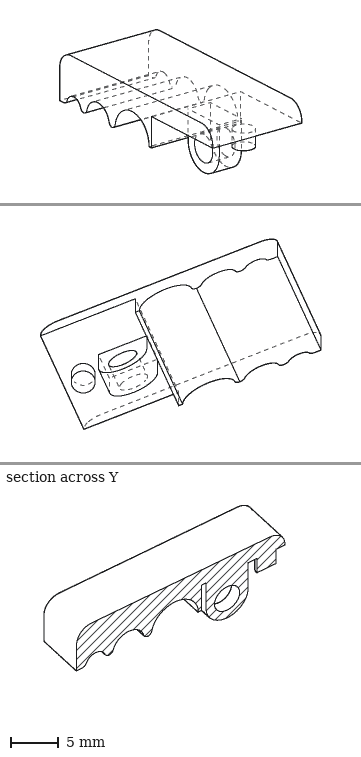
import cadquery as cq
import math

length = 27.0
width = 11.6
body_height = 5.75
plate_thickness = 2.2
top_edge_radius = 2.0

grip_length = 16.2
lip_radius = 0.65
end_wall = 0.45

small_radius = 1.25
medium_radius = 2.0
large_radius = 3.0
small_center_x = 2.5
medium_center_x = 6.75
large_center_x = grip_length - end_wall - large_radius

lug_center_x = 19.5
lug_radius = 2.75
lug_thickness = 2.9
pivot_hole_diameter = 3.2

pin_center_x = 24.6
pin_diameter = 2.5
pin_length = 2.0

plate_underside = body_height - plate_thickness


def make_body():
    """Plate and grip block in one side profile, with both top edges rounded."""
    profile = (
        cq.Workplane("XZ")
        .moveTo(0, 0)
        .lineTo(grip_length, 0)
        .lineTo(grip_length, plate_underside)
        .lineTo(length, plate_underside)
        .lineTo(length, body_height)
        .lineTo(0, body_height)
        .close()
    )
    body = profile.extrude(width / 2, both=True)
    return body.faces(">Z").edges("|Y").fillet(top_edge_radius)


def lip_points(radius):
    """Points of a rounded lip, as (distance from the notch centre, height above the underside).

    The lip arc is tangent to both the underside and the notch: it starts on the underside,
    passes its midpoint and ends on the notch.
    """
    center_distance = radius + lip_radius
    tangent_angle = math.asin(lip_radius / center_distance)
    lip_center = center_distance * math.cos(tangent_angle)
    middle_angle = (math.pi / 2 + tangent_angle) / 2
    start = (lip_center, 0)
    middle = (
        lip_center - lip_radius * math.cos(middle_angle),
        lip_radius - lip_radius * math.sin(middle_angle),
    )
    end = (radius * math.cos(tangent_angle), radius * math.sin(tangent_angle))
    return start, middle, end


def make_notch(center_x, radius, right_lip_rounded):
    """Half-round cutter across the whole width, flared by its rounded lips."""
    start, middle, end = lip_points(radius)
    outline = (
        cq.Workplane("XZ")
        .center(center_x, 0)
        .moveTo(-start[0], start[1])
        .threePointArc((-middle[0], middle[1]), (-end[0], end[1]))
    )
    if right_lip_rounded:
        outline = outline.threePointArc((0, radius), end).threePointArc(middle, start)
    else:
        outline = outline.threePointArc((0, radius), (radius, 0))
    return outline.close().extrude(width / 2, both=True)


def make_lug():
    """Round-ended lug hanging from the plate, with a pivot hole along Y."""
    lug = (
        cq.Workplane("XZ")
        .moveTo(lug_center_x - lug_radius, plate_underside)
        .lineTo(lug_center_x - lug_radius, 0)
        .threePointArc((lug_center_x, -lug_radius), (lug_center_x + lug_radius, 0))
        .lineTo(lug_center_x + lug_radius, plate_underside)
        .close()
        .extrude(lug_thickness / 2, both=True)
    )
    pivot_hole = (
        cq.Workplane("XZ")
        .center(lug_center_x, 0)
        .circle(pivot_hole_diameter / 2)
        .extrude(lug_thickness, both=True)
    )
    return lug.cut(pivot_hole)


def make_pin():
    """Plain pin pointing down from the underside of the plate."""
    return (
        cq.Workplane("XY")
        .workplane(offset=plate_underside)
        .center(pin_center_x, 0)
        .circle(pin_diameter / 2)
        .extrude(-pin_length)
    )


notches = [
    make_notch(small_center_x, small_radius, right_lip_rounded=True),
    make_notch(medium_center_x, medium_radius, right_lip_rounded=True),
    make_notch(large_center_x, large_radius, right_lip_rounded=False),
]

body = make_body()
for notch in notches:
    body = body.cut(notch)

result = body.union(make_lug()).union(make_pin())